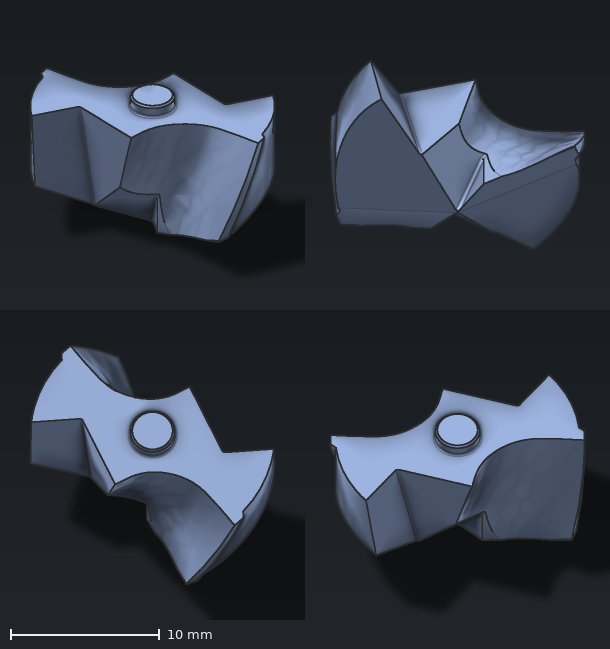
import cadquery as cq
import math

POINT_DEPTH = 9.15
REACH = 11.97
BACK_RADIUS = 8.2
MARGIN_RADIUS = 8.55
TWIST_RATE = 4.012

MARGIN_START_ANGLE = 15.0
MARGIN_END_ANGLE = 20.3
BACK_START_ANGLE = 22.8
LOBE_END_ANGLE = 107.0

FLUTE_POINTS = [
    (2.15, -3.78), (2.1, -3.08), (2.15, -1.97), (2.43, -1.08), (3.01, -0.12), (4.12, 0.92), (6.09, 1.71),
]

POCKET_Y = 3.78
POCKET_CORNER = (3.13, POCKET_Y, 0.0)
POCKET_RIM = (4.35, 6.98, 0.0)
POCKET_LOW_RIM = (3.49, 7.42, -5.01)
POCKET_FILLET = 0.2

LIP_SLOPE = (-0.354, -0.067)
FLANK_SLOPE = (-0.354, -0.39)
GASH_SLOPE = (1.03, -0.967)
GASH_BEND = (2.15, -1.45)
GASH_FILLET = 0.25

BOSS_RADIUS = 1.49
BOSS_HEIGHT = 0.84
BOSS_EDGE = 0.14


def polar(radius, degrees):
    angle = math.radians(degrees)
    return (radius * math.cos(angle), radius * math.sin(angle))


def opposite(point):
    return (-point[0], -point[1])


def half_turn(solid):
    return solid.rotate((0, 0, 0), (0, 0, 1), 180)


def twisted_lobes():
    outline = cq.Workplane("XY").moveTo(*opposite(polar(BACK_RADIUS, LOBE_END_ANGLE)))
    margin_middle = (MARGIN_START_ANGLE + MARGIN_END_ANGLE) / 2
    back_middle = (BACK_START_ANGLE + LOBE_END_ANGLE) / 2
    flute = FLUTE_POINTS + [polar(MARGIN_RADIUS, MARGIN_START_ANGLE)]
    for side in (lambda point: point, opposite):
        outline = (
            outline.lineTo(*side(flute[0]))
            .spline([side(point) for point in flute[1:]], includeCurrent=True)
            .threePointArc(
                side(polar(MARGIN_RADIUS, margin_middle)),
                side(polar(MARGIN_RADIUS, MARGIN_END_ANGLE)),
            )
            .lineTo(*side(polar(BACK_RADIUS, BACK_START_ANGLE)))
            .threePointArc(side(polar(BACK_RADIUS, back_middle)), side(polar(BACK_RADIUS, LOBE_END_ANGLE)))
        )
    twist = TWIST_RATE * POINT_DEPTH
    lobes = outline.close().twistExtrude(POINT_DEPTH, twist)
    return lobes.rotate((0, 0, 0), (0, 0, 1), -twist).translate((0, 0, -POINT_DEPTH))


def below_plane(slope):
    """Block under the plane that passes through the tip with the given slopes."""
    upward = cq.Vector(-slope[0], -slope[1], 1)
    plane = cq.Plane(origin=(0, 0, -POINT_DEPTH), xDir=(1, 0, slope[0]), normal=upward.toTuple())
    return cq.Workplane(plane).rect(4 * REACH, 4 * REACH).extrude(-2 * REACH)


def gash(wall_angle):
    """Web thinning beside the tip: sloping floor filleted to an upright wall through GASH_BEND."""
    column = (
        cq.Workplane("XY")
        .center(0, -REACH)
        .rect(4 * REACH, 2 * REACH)
        .extrude(2 * REACH, both=True)
        .rotate((0, 0, 0), (0, 0, 1), wall_angle)
        .translate((*GASH_BEND, 0))
    )
    valley_height = GASH_SLOPE[0] * GASH_BEND[0] + GASH_SLOPE[1] * GASH_BEND[1] - POINT_DEPTH
    tool = column.intersect(below_plane(GASH_SLOPE))
    bend = cq.Vertex.makeVertex(*GASH_BEND, valley_height)
    valley = min(tool.edges().vals(), key=bend.distance)
    return tool.newObject([valley]).fillet(GASH_FILLET)


def pocket():
    corner, rim, low_rim = (cq.Vector(*point) for point in (POCKET_CORNER, POCKET_RIM, POCKET_LOW_RIM))
    normal = (rim - corner).cross(low_rim - corner)

    def slanted_x(y, z):
        return corner.x - (normal.y * (y - corner.y) + normal.z * (z - corner.z)) / normal.x

    def section(z):
        far_y = POCKET_Y + REACH
        points = [
            (-REACH, POCKET_Y),
            (slanted_x(POCKET_Y, z), POCKET_Y),
            (slanted_x(far_y, z), far_y),
            (-REACH, far_y),
        ]
        return cq.Wire.makePolygon([cq.Vector(x, y, z) for x, y in points], close=True)

    tool = cq.Workplane(cq.Solid.makeLoft([section(-REACH), section(REACH)], True))
    return tool.edges(cq.selectors.NearestToPointSelector(POCKET_CORNER)).fillet(POCKET_FILLET)


def boss():
    return (
        cq.Workplane("XZ")
        .lineTo(BOSS_RADIUS + BOSS_EDGE, 0)
        .radiusArc((BOSS_RADIUS, BOSS_EDGE), BOSS_EDGE)
        .lineTo(BOSS_RADIUS, BOSS_HEIGHT - BOSS_EDGE)
        .lineTo(BOSS_RADIUS - BOSS_EDGE, BOSS_HEIGHT)
        .lineTo(0, BOSS_HEIGHT)
        .close()
        .revolve(360, (0, 0, 0), (0, 1, 0))
    )


result = twisted_lobes()
inner_wall_angle = math.degrees(math.atan2(GASH_BEND[1], GASH_BEND[0]))
cutters = [pocket(), below_plane(LIP_SLOPE), below_plane(FLANK_SLOPE), gash(inner_wall_angle), gash(0)]
for cutter in cutters:
    result = result.cut(cutter).cut(half_turn(cutter))
result = result.union(boss())